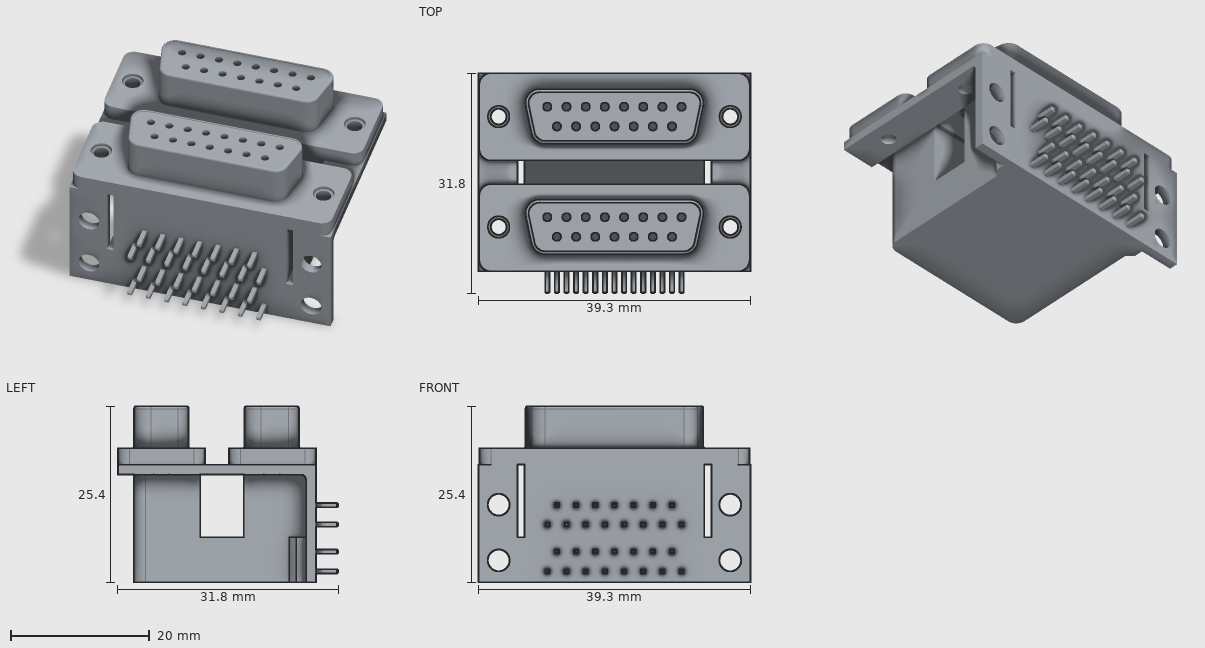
import cadquery as cq
import math


total_height = 25.43
total_depth = 31.78
deck_top = 17.0
pin_length = 3.16

bracket_outer_x = 39.32 / 2
bracket_inner_x = 14.0
bracket_thickness = 1.45
bracket_depth = total_depth - pin_length
bracket_bend_radius = 0.8
leg_hole_diameter = 3.12
leg_hole_x = 16.72
leg_hole_heights = (3.16, 11.2)

body_half_width = 13.0
body_depth = 26.35
body_corner_radius = 1.65
gap_front_y = 10.48
gap_rear_y = 16.73
gap_floor_z = 6.52
tab_depth = 3.85
tab_chamfer = 0.95

connector_y = (6.41, 22.35)
flange_length = 39.02
flange_width = 12.6
flange_front_y = (0.0, bracket_depth - flange_width)
flange_top = 19.36
flange_corner_radius = 1.63
mount_hole_x = leg_hole_x
mount_hole_diameter = 2.25
mount_recess_diameter = 3.12
mount_recess_depth = 0.45

shell_half_width = 12.85
shell_height = 7.9
shell_corner_radius = 1.98
shell_side_angle = math.radians(12)
shell_top_fillet = 0.35
shell_base_fillet = 0.23
shell_rim_inset = 0.45
shell_rim_depth = 0.1

contact_pitch = 2.77
contact_row_spacing = 2.84
contact_row_counts = (8, 7)
contact_hole_diameter = 1.2
contact_hole_depth = 5.0

pin_size = 0.66
pin_tip_chamfer = 0.18
pin_rows = ((1.58, 8), (4.42, 7), (8.34, 8), (11.14, 7))


def box(x_range, y_range, z_range):
    """Axis-aligned block between the given limits."""
    size = [high - low for low, high in (x_range, y_range, z_range)]
    return cq.Workplane("XY").box(*size, centered=False).translate(
        (x_range[0], y_range[0], z_range[0])
    )


def row_positions(count):
    """X positions of a centred row of contacts."""
    return [(i - (count - 1) / 2) * contact_pitch for i in range(count)]


def make_body():
    body = box((-body_half_width, body_half_width), (0, body_depth), (0, deck_top))
    body = body.edges("|Z and >Y").fillet(body_corner_radius)
    gap = box(
        (-body_half_width, body_half_width), (gap_front_y, gap_rear_y), (gap_floor_z, deck_top)
    )
    tabs = box((-bracket_inner_x, bracket_inner_x), (0, tab_depth), (0, gap_floor_z))
    tabs = tabs.edges("|Z and >Y").chamfer(tab_chamfer)
    return body.cut(gap).union(tabs)


def make_bracket(side):
    """L-shaped bracket; side is -1 for the left end and 1 for the right end."""
    profile = (
        cq.Workplane("YZ")
        .polyline(
            [
                (0, 0),
                (0, deck_top),
                (bracket_depth, deck_top),
                (bracket_depth, deck_top - bracket_thickness),
                (bracket_thickness, deck_top - bracket_thickness),
                (bracket_thickness, 0),
            ]
        )
        .close()
    )
    bracket = profile.extrude(bracket_outer_x - bracket_inner_x)
    inner_bend = cq.selectors.NearestToPointSelector(
        ((bracket_outer_x - bracket_inner_x) / 2, bracket_thickness, deck_top - bracket_thickness)
    )
    bracket = bracket.edges(inner_bend).fillet(bracket_bend_radius)
    start_x = bracket_inner_x if side > 0 else -bracket_outer_x
    bracket = bracket.translate((start_x, 0, 0))
    leg_holes = (
        cq.Workplane("XZ")
        .pushPoints([(side * leg_hole_x, height) for height in leg_hole_heights])
        .circle(leg_hole_diameter / 2)
        .extrude(-bracket_thickness)
    )
    return bracket.cut(leg_holes)


def make_shell(center_y):
    """D-shaped shell standing on the flange, wide side toward +Y."""
    half_height = shell_height / 2
    corner_center_x = shell_half_width - shell_corner_radius
    corner_center_y = half_height - shell_corner_radius
    tangent_x = corner_center_x + shell_corner_radius * math.cos(shell_side_angle)
    tangent_y = corner_center_y - shell_corner_radius * math.sin(shell_side_angle)
    slope = math.tan(shell_side_angle)
    wide_x = tangent_x + (half_height - tangent_y) * slope
    narrow_x = tangent_x - (half_height + tangent_y) * slope
    shell = (
        cq.Workplane("XY")
        .polyline(
            [
                (-wide_x, half_height),
                (wide_x, half_height),
                (narrow_x, -half_height),
                (-narrow_x, -half_height),
            ]
        )
        .close()
        .extrude(total_height - flange_top)
    )
    shell = shell.edges("|Z").fillet(shell_corner_radius)
    recess = (
        shell.faces(">Z")
        .wires()
        .toPending()
        .workplane()
        .offset2D(-shell_rim_inset)
        .extrude(-shell_rim_depth, combine=False)
    )
    shell = shell.faces(">Z").edges().fillet(shell_top_fillet)
    return shell.cut(recess).translate((0, center_y, flange_top))


def make_connector(center_y, front_y):
    """Flange with its shell, rounded where the two meet."""
    flange = box(
        (-flange_length / 2, flange_length / 2),
        (front_y, front_y + flange_width),
        (deck_top, flange_top),
    )
    flange = flange.edges("|Z").fillet(flange_corner_radius)
    connector = flange.union(make_shell(center_y))
    margin = 0.5
    base_edges = cq.selectors.BoxSelector(
        (-shell_half_width - margin, center_y - shell_height / 2 - margin, flange_top - margin / 2),
        (shell_half_width + margin, center_y + shell_height / 2 + margin, flange_top + margin / 2),
    )
    return connector.edges(base_edges).fillet(shell_base_fillet)


def make_mount_holes(center_y):
    """Recessed mounting holes through the flange and the deck strips."""
    centers = [(-mount_hole_x, center_y), (mount_hole_x, center_y)]
    bottom = deck_top - bracket_thickness
    bores = (
        cq.Workplane("XY", origin=(0, 0, bottom))
        .pushPoints(centers)
        .circle(mount_hole_diameter / 2)
        .extrude(flange_top - bottom)
    )
    recesses = (
        cq.Workplane("XY", origin=(0, 0, flange_top))
        .pushPoints(centers)
        .circle(mount_recess_diameter / 2)
        .extrude(-mount_recess_depth)
    )
    return bores.union(recesses)


def make_contact_holes(center_y):
    wide_count, narrow_count = contact_row_counts
    offset = contact_row_spacing / 2
    centers = [(x, center_y + offset) for x in row_positions(wide_count)]
    centers += [(x, center_y - offset) for x in row_positions(narrow_count)]
    return (
        cq.Workplane("XY", origin=(0, 0, total_height))
        .pushPoints(centers)
        .circle(contact_hole_diameter / 2)
        .extrude(-contact_hole_depth)
    )


def make_pin_row(height, count):
    """Row of square pins pointing to -Y, with bevelled tips."""
    pins = (
        cq.Workplane("XZ")
        .pushPoints([(x, height) for x in row_positions(count)])
        .rect(pin_size, pin_size)
        .extrude(pin_length)
    )
    return pins.faces("<Y").edges().chamfer(pin_tip_chamfer)


result = make_body()
for side in (-1, 1):
    result = result.union(make_bracket(side))
for center_y, front_y in zip(connector_y, flange_front_y):
    result = result.union(make_connector(center_y, front_y))
    result = result.cut(make_mount_holes(center_y)).cut(make_contact_holes(center_y))
for height, count in pin_rows:
    result = result.union(make_pin_row(height, count))